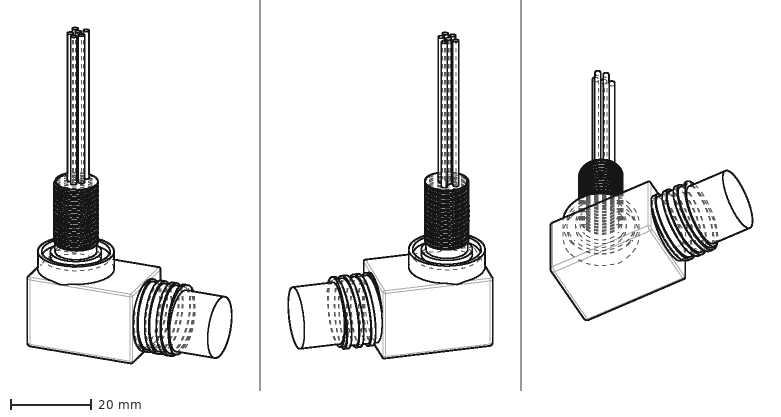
import cadquery as cq

OVERLAP = 0.1

box_size = 19.0
box_length = 28.5
box_left = -box_size / 2
box_right = box_left + box_length
round_radius = 1.0
edge_round_radius = 0.5

collar_diameter = box_size
collar_height = 4.8
collar_top = box_size + collar_height
recess_outer_diameter = 17.0
recess_inner_diameter = 12.7
recess_depth = 1.5

stem_diameter = 10.42
stem_height = 19.0
stem_top = collar_top + stem_height
stem_thread_diameter = 11.0
stem_root_diameter = 10.0
stem_thread_pitch = 1.25
stem_neck_length = 2.5
stem_thread_start = collar_top + stem_neck_length
stem_ridge_first = stem_thread_start
stem_ridge_base = 1.0
stem_ridge_crest = 0.5

wire_diameter = 1.5
wire_length = 40.0
wire_spacing = 1.5
wire_grid = [(-1, 2), (1, 2), (0, 1), (-1, 0), (1, 0), (0, -1)]

plug_axis_z = 9.75
plug_core_diameter = 17.0
plug_core_length = 9.5
plug_thread_diameter = 18.2
plug_thread_pitch = 3.1
plug_ridge_first = 1.6
plug_ridge_width = 1.1
plug_end_diameter = 15.5
overall_length = 48.3
plug_length = overall_length - box_length


def cylinder(diameter, height, base_z=0.0):
    return cq.Workplane("XY").workplane(offset=base_z).circle(diameter / 2).extrude(height)


def thread_ridge(core_diameter, crest_diameter, pitch, start_z, end_z, first_z, base_width, crest_width):
    """Right-handed ridge around Z, cut flat at start_z and end_z; it crosses the +X side at first_z."""
    core_radius = core_diameter / 2
    crest_radius = crest_diameter / 2
    foot_radius = core_radius - OVERLAP
    flank_slope = (base_width - crest_width) / (crest_radius - core_radius)
    foot_width = base_width + flank_slope * OVERLAP
    helix_start = first_z - pitch
    length = end_z - start_z
    helix = cq.Wire.makeHelix(pitch, length + 2 * pitch, foot_radius, center=cq.Vector(0, 0, helix_start))
    profile = [
        (foot_radius, helix_start - foot_width / 2),
        (crest_radius, helix_start - crest_width / 2),
        (crest_radius, helix_start + crest_width / 2),
        (foot_radius, helix_start + foot_width / 2),
    ]
    ridge = cq.Workplane("XZ").polyline(profile).close().sweep(cq.Workplane(helix), isFrenet=True)
    return ridge.intersect(cylinder(2 * crest_diameter, length, start_z))


def make_box():
    box = cq.Workplane("XY").box(box_length, box_size, box_size, centered=(False, True, False))
    box = box.translate((box_left, 0, 0))
    box = box.edges("|Z and <X").fillet(round_radius)
    box = box.faces("<Z").edges("not >X").fillet(round_radius)
    return box.faces(">X or >Z").edges().fillet(edge_round_radius)


def make_collar():
    foot_z = box_size / 2
    collar = cylinder(collar_diameter, collar_top - foot_z, foot_z)
    recess_floor = collar_top - recess_depth
    recess = cylinder(recess_outer_diameter, recess_depth, recess_floor)
    recess = recess.cut(cylinder(recess_inner_diameter, recess_depth, recess_floor))
    return collar.cut(recess)


def make_stem():
    neck_foot = collar_top - OVERLAP
    stem = cylinder(stem_diameter, stem_thread_start - neck_foot, neck_foot)
    stem = stem.union(cylinder(stem_root_diameter, stem_top - neck_foot, neck_foot))
    ridge = thread_ridge(
        stem_root_diameter, stem_thread_diameter, stem_thread_pitch,
        stem_thread_start, stem_top, stem_ridge_first, stem_ridge_base, stem_ridge_crest,
    )
    return stem.union(ridge)


def make_wires():
    places = [(column * wire_spacing, row * wire_spacing) for column, row in wire_grid]
    wires = cq.Workplane("XY").workplane(offset=stem_top - OVERLAP).pushPoints(places)
    return wires.circle(wire_diameter / 2).extrude(wire_length + OVERLAP)


def make_plug():
    """Plug built along Z from the box face, then laid over to point along +X."""
    plug = cylinder(plug_core_diameter, plug_core_length + OVERLAP, -OVERLAP)
    plug = plug.union(cylinder(plug_end_diameter, plug_length))
    plug = plug.union(thread_ridge(
        plug_core_diameter, plug_thread_diameter, plug_thread_pitch,
        0, plug_core_length, plug_ridge_first, plug_ridge_width, plug_ridge_width,
    ))
    plug = plug.rotate((0, 0, 0), (0, 1, 0), 90)
    return plug.translate((box_right, 0, plug_axis_z))


result = make_box().union(make_collar()).union(make_stem()).union(make_wires()).union(make_plug())